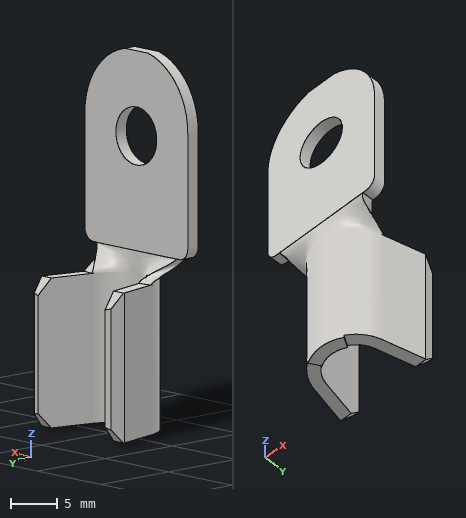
import cadquery as cq
import math

SHEET = 1.57
TOTAL_HEIGHT = 41.53
TOTAL_DEPTH = 11.18

TONGUE_WIDTH = 16.26
TONGUE_BOTTOM = 19.5
CROWN_HEIGHT = 7.9
LOWER_CORNER_RADIUS = 1.35
HOLE_DIAMETER = 6.4
HOLE_BELOW_TOP = 9.4

OUTER_RADIUS = 5.36
INNER_RADIUS = OUTER_RADIUS - SHEET
FLARE = math.radians(13.5)
BARREL_BOTTOM = 0.32
BARREL_TOP = 16.87
TIP_THICKNESS = 0.8
TIP_LENGTH = 1.42
TIP_CORNER_HEIGHT = 1.8
TIP_CORNER_DEPTH = 1.65

TAB_WIDTH = 5.46

NECK_HALF_LENGTH = 6.35
NECK_WAIST = 0.7
NECK_STEPS = 6
FLAT_ANGLE = 0.002


def arc_point(radius, angle, centre_y):
    """Point on a circle around (0, centre_y); angle is measured from -Y."""
    return (radius * math.sin(angle), centre_y - radius * math.cos(angle))


def wing_point(radius, along, side):
    """Point on a wing: radius picks the face, along is the distance past the arc."""
    x = radius * math.cos(FLARE) + along * math.sin(FLARE)
    y = OUTER_RADIUS - radius * math.sin(FLARE) + along * math.cos(FLARE)
    return (side * x, y)


def curved_strip(height, outer_radius, half_angle):
    """Wire of a sheet strip bent around Z, with its front face touching Y = 0."""
    inner_radius = outer_radius - SHEET
    return (
        cq.Workplane("XY", origin=(0, 0, height))
        .moveTo(*arc_point(outer_radius, -half_angle, outer_radius))
        .threePointArc((0, 0), arc_point(outer_radius, half_angle, outer_radius))
        .lineTo(*arc_point(inner_radius, half_angle, outer_radius))
        .threePointArc((0, SHEET), arc_point(inner_radius, -half_angle, outer_radius))
        .close()
    )


def make_tongue():
    half_width = TONGUE_WIDTH / 2
    arc_centre = TOTAL_HEIGHT - CROWN_HEIGHT
    half_flat = math.sqrt(half_width**2 - CROWN_HEIGHT**2)
    mid_angle = math.atan2(CROWN_HEIGHT, half_flat) / 2
    mid_x = half_width * math.cos(mid_angle)
    mid_z = arc_centre + half_width * math.sin(mid_angle)
    plate = (
        cq.Workplane("XZ")
        .moveTo(-half_width, TONGUE_BOTTOM)
        .lineTo(half_width, TONGUE_BOTTOM)
        .lineTo(half_width, arc_centre)
        .threePointArc((mid_x, mid_z), (half_flat, TOTAL_HEIGHT))
        .lineTo(-half_flat, TOTAL_HEIGHT)
        .threePointArc((-mid_x, mid_z), (-half_width, arc_centre))
        .close()
        .extrude(-SHEET)
    )
    lower_corners = cq.selectors.BoxSelector(
        (-TONGUE_WIDTH, -SHEET, TONGUE_BOTTOM - SHEET),
        (TONGUE_WIDTH, 2 * SHEET, TONGUE_BOTTOM + SHEET),
    )
    plate = plate.edges("|Y").edges(lower_corners).fillet(LOWER_CORNER_RADIUS)
    hole = (
        cq.Workplane("XZ", origin=(0, 0, TOTAL_HEIGHT - HOLE_BELOW_TOP))
        .circle(HOLE_DIAMETER / 2)
        .extrude(-SHEET)
    )
    return plate.cut(hole)


def make_barrel():
    inner_tangent_y = OUTER_RADIUS - INNER_RADIUS * math.sin(FLARE)
    wing_length = (TOTAL_DEPTH - inner_tangent_y) / math.cos(FLARE)
    tip_start = wing_length - TIP_LENGTH
    tip_radius = INNER_RADIUS + TIP_THICKNESS
    return (
        cq.Workplane("XY", origin=(0, 0, BARREL_BOTTOM))
        .moveTo(*wing_point(OUTER_RADIUS, 0, -1))
        .threePointArc((0, 0), wing_point(OUTER_RADIUS, 0, 1))
        .lineTo(*wing_point(OUTER_RADIUS, tip_start, 1))
        .lineTo(*wing_point(tip_radius, wing_length, 1))
        .lineTo(*wing_point(INNER_RADIUS, wing_length, 1))
        .lineTo(*wing_point(INNER_RADIUS, 0, 1))
        .threePointArc((0, SHEET), wing_point(INNER_RADIUS, 0, -1))
        .lineTo(*wing_point(INNER_RADIUS, wing_length, -1))
        .lineTo(*wing_point(tip_radius, wing_length, -1))
        .lineTo(*wing_point(OUTER_RADIUS, tip_start, -1))
        .close()
        .extrude(BARREL_TOP - BARREL_BOTTOM)
    )


def cut_tip_corners(barrel):
    """Slope off the upper and lower corner of both wing tips."""
    for end, inward in ((BARREL_TOP, -1), (BARREL_BOTTOM, 1)):
        corner = (
            cq.Workplane("YZ")
            .moveTo(TOTAL_DEPTH - TIP_CORNER_DEPTH, end)
            .lineTo(TOTAL_DEPTH, end)
            .lineTo(TOTAL_DEPTH, end + inward * TIP_CORNER_HEIGHT)
            .close()
            .extrude(TONGUE_WIDTH / 2, both=True)
        )
        barrel = barrel.cut(corner)
    return barrel


def make_tab():
    half_angle = math.asin(TAB_WIDTH / 2 / OUTER_RADIUS)
    return curved_strip(0, OUTER_RADIUS, half_angle).extrude(BARREL_BOTTOM)


def make_neck():
    """Loft of strips that flatten smoothly from barrel to tongue."""
    middle_radius = OUTER_RADIUS - SHEET / 2
    full_angle = NECK_HALF_LENGTH / middle_radius
    wires = []
    for step in range(NECK_STEPS + 1):
        rise = step / NECK_STEPS
        height = BARREL_TOP + rise * (TONGUE_BOTTOM - BARREL_TOP)
        flatness = rise**2 * (3 - 2 * rise)
        strip_angle = max(full_angle * (1 - flatness), FLAT_ANGLE)
        bend_radius = NECK_HALF_LENGTH / strip_angle
        half_length = NECK_HALF_LENGTH - NECK_WAIST * math.sin(math.pi * rise)
        half_angle = half_length / bend_radius
        outer_radius = bend_radius + SHEET / 2
        wires.append(curved_strip(height, outer_radius, half_angle).val())
    return cq.Workplane(cq.Solid.makeLoft(wires))


barrel = cut_tip_corners(make_barrel())
result = make_tongue().union(make_neck()).union(barrel).union(make_tab())